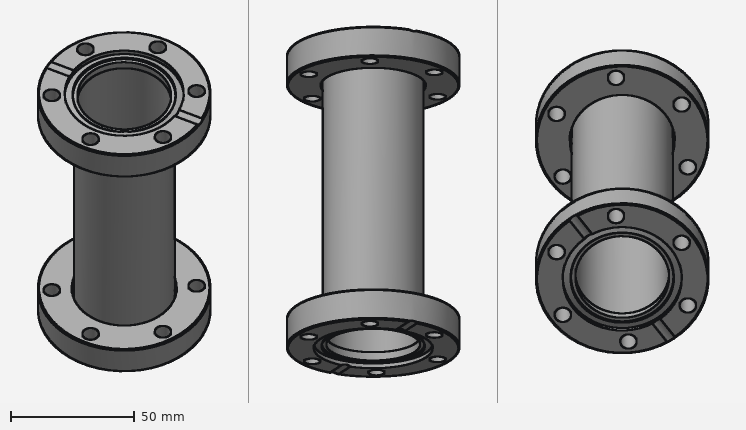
import cadquery as cq

total_length = 126.0
flange_diameter = 70.0
flange_thickness = 13.0
edge_chamfer = 0.5

tube_outer_diameter = 41.0
bore_diameter = 38.0
tube_end_depth = 5.0
relief_diameter = 42.6
relief_depth = 7.5

seal_recess_diameter = 48.3
seal_recess_depth = 2.0
knife_edge_diameter = 42.0
knife_edge_depth = 0.9
inner_land_diameter = 41.5
inner_land_depth = 1.5

bolt_count = 6
bolt_circle_diameter = 58.7
bolt_hole_diameter = 6.7
first_bolt_angle = 90.0

groove_width = 3.9
groove_depth = 0.6


def make_flange_profile():
    """Half section of the flange in the XZ plane, with the sealing face on top at Z = 0."""
    outer = flange_diameter / 2
    recess = seal_recess_diameter / 2
    bore = bore_diameter / 2
    socket = tube_outer_diameter / 2
    relief = relief_diameter / 2
    relief_floor = relief_depth - flange_thickness
    return (
        cq.Workplane("XZ")
        .moveTo(outer - edge_chamfer, 0)
        .lineTo(recess, 0)
        .lineTo(recess, -seal_recess_depth)
        .lineTo(knife_edge_diameter / 2, -knife_edge_depth)
        .lineTo(inner_land_diameter / 2, -inner_land_depth)
        .lineTo(bore, -inner_land_depth)
        .lineTo(bore, -tube_end_depth)
        .lineTo(socket, -tube_end_depth)
        .lineTo(socket, relief_floor)
        .lineTo(relief, relief_floor)
        .lineTo(relief, -flange_thickness)
        .lineTo(outer - edge_chamfer, -flange_thickness)
        .lineTo(outer, edge_chamfer - flange_thickness)
        .lineTo(outer, -edge_chamfer)
        .close()
    )


def make_bolt_holes():
    """Cutters for the ring of through holes."""
    return (
        cq.Workplane("XY")
        .polarArray(bolt_circle_diameter / 2, first_bolt_angle, 360, bolt_count)
        .circle(bolt_hole_diameter / 2)
        .extrude(-flange_thickness)
    )


def make_groove_cutter():
    """Cylinder along X that cuts a shallow round groove on both sides of the seal recess."""
    half_width = groove_width / 2
    radius = (half_width**2 + groove_depth**2) / (2 * groove_depth)
    axis_height = radius - groove_depth
    cylinder = (
        cq.Workplane("YZ")
        .center(0, axis_height)
        .circle(radius)
        .extrude(flange_diameter / 2, both=True)
    )
    seal_area = (
        cq.Workplane("XY")
        .circle(seal_recess_diameter / 2)
        .extrude(2 * radius, both=True)
    )
    return cylinder.cut(seal_area)


def make_flange():
    """Flange facing up, sealing face at Z = 0."""
    body = make_flange_profile().revolve(360, (0, 0, 0), (0, 1, 0))
    return body.cut(make_bolt_holes()).cut(make_groove_cutter())


def make_tube():
    """Tube centred on the origin, ending inside both flange sockets."""
    tube_length = total_length - 2 * tube_end_depth
    return (
        cq.Workplane("XY")
        .circle(tube_outer_diameter / 2)
        .circle(bore_diameter / 2)
        .extrude(tube_length)
        .translate((0, 0, -tube_length / 2))
    )


flanges = []
for flip_angle in (0, 180):
    flange = make_flange().translate((0, 0, total_length / 2))
    flanges.append(flange.rotate((0, 0, 0), (1, 0, 0), flip_angle).val())

tube = make_tube()

result = cq.Compound.makeCompound([tube.val(), *flanges])